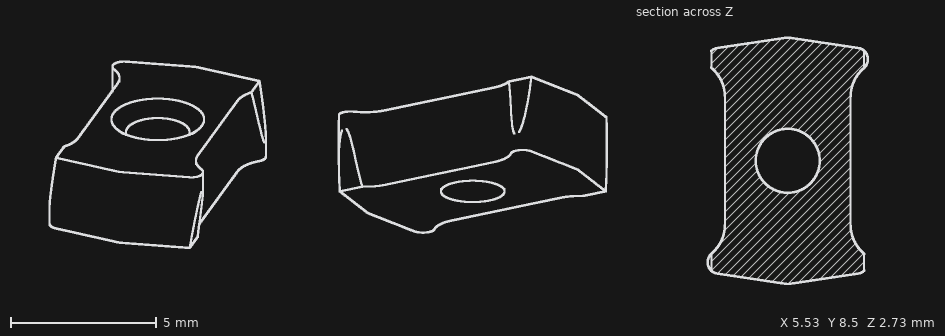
import math

import cadquery as cq

width = 5.53
length = 8.5
thickness = 2.73

tip_radius = 0.5
end_slope = 8.5
corner_radius = 0.4
waist_width = 4.34
waist_straight = 4.42

relief_angle = 9.0

hole_diameter = 2.2
countersink_diameter = 3.2
countersink_angle = 90.0

slope = math.radians(end_slope)

tip_y = length / 2 - tip_radius

corner_x = width / 2 - corner_radius
corner_y = (
    tip_y
    + (tip_radius - corner_radius) / math.cos(slope)
    - corner_x * math.tan(slope)
)
edge_normal = math.pi / 2 - slope

neck_y = waist_straight / 2
offset_x = corner_x - waist_width / 2
offset_y = corner_y - neck_y
neck_radius = (offset_x**2 + offset_y**2 - corner_radius**2) / (2 * (offset_x + corner_radius))
neck_x = waist_width / 2 + neck_radius
neck_angle = math.atan2(corner_y - neck_y, corner_x - neck_x)


def point_on_arc(center_x, center_y, radius, angle):
    return (center_x + radius * math.cos(angle), center_y + radius * math.sin(angle))


corner_start = point_on_arc(corner_x, corner_y, corner_radius, edge_normal)


def make_quarter():
    """Quarter of the body in +X +Y, bounded by the two symmetry planes."""
    tip_middle = point_on_arc(0, tip_y, tip_radius, (edge_normal + math.pi / 2) / 2)
    tip_end = point_on_arc(0, tip_y, tip_radius, edge_normal)
    neck_start = point_on_arc(neck_x, neck_y, neck_radius, neck_angle)
    neck_middle = point_on_arc(neck_x, neck_y, neck_radius, (neck_angle + math.pi) / 2)
    return (
        cq.Workplane("XY")
        .lineTo(0, length / 2)
        .threePointArc(tip_middle, tip_end)
        .lineTo(*corner_start)
        .threePointArc((corner_x + corner_radius, corner_y), neck_start)
        .threePointArc(neck_middle, (waist_width / 2, neck_y))
        .lineTo(waist_width / 2, 0)
        .close()
        .extrude(thickness)
    )


def make_body():
    quarter = make_quarter()
    half = quarter.union(quarter.mirror("YZ"))
    return half.union(half.mirror("XZ")).clean()


def make_relief_cutter():
    """Wedge that thins the +X +Y corner toward the top face."""
    relief_x = corner_start[0]
    run = thickness * math.tan(math.radians(relief_angle))
    return (
        cq.Workplane("XZ")
        .moveTo(relief_x, thickness)
        .lineTo(relief_x + run, thickness)
        .lineTo(relief_x + run, 0)
        .close()
        .extrude(-length)
    )


def cut_reliefs(body):
    """Relieve one diagonal pair of corners at the top and the other pair at the bottom."""
    top_cutter = make_relief_cutter()
    middle = (0, 0, thickness / 2)
    bottom_cutter = top_cutter.rotate(middle, (1, 0, thickness / 2), 180)
    for cutter in (top_cutter, bottom_cutter):
        for turn in (0, 180):
            body = body.cut(cutter.rotate((0, 0, 0), (0, 0, 1), turn))
    return body


def cut_screw_hole(body):
    return body.faces(">Z").workplane(origin=(0, 0, thickness)).cskHole(
        hole_diameter, countersink_diameter, countersink_angle
    )


result = cut_screw_hole(cut_reliefs(make_body())).solids()